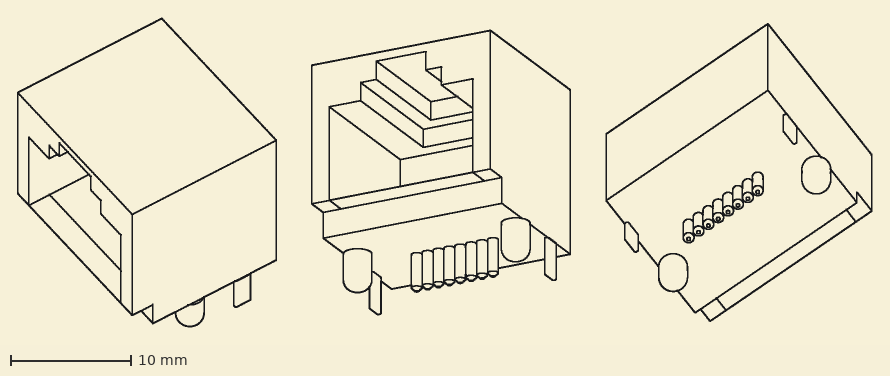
import cadquery as cq

housing_width = 16.7
housing_depth = 14.6
housing_height = 14.79

undercut_depth = 2.1
undercut_height = 2.32

cavity_widths = (13.4, 7.55, 4.6)
cavity_heights = (8.4, 1.63, 1.65)
back_wall = (housing_width - cavity_widths[0]) / 2
cavity_depth = housing_depth - back_wall
tier_setback = 1.5

sill_thickness = 0.02
floor_z = undercut_height + sill_thickness

overall_height = 18.09
leg_length = overall_height - housing_height

post_diameter = 2.4
post_spacing = 14.78
post_y = 6.5
post_tip_radius = 1.0

pin_count = 8
pin_pitch = 1.018
pins_left_of_centre = 3
first_pin_x = -pins_left_of_centre * pin_pitch
pin_diameter = 0.9
pin_y = 8.83
pin_tip_chamfer = 0.3

tab_width = 1.6
tab_thickness = 0.4
tab_y = 11.23
tab_edge_radius = 0.15
left_tab_overhang = 0.01
right_tab_overhang = 0.06
flush_tab_x = (housing_width - tab_thickness) / 2
left_tab_x = -left_tab_overhang - flush_tab_x
right_tab_x = right_tab_overhang + flush_tab_x


def make_housing():
    """Block with its bottom front edge cut back."""
    block = cq.Workplane("XY").box(
        housing_width, housing_depth, housing_height, centered=(True, False, False)
    )
    undercut = cq.Workplane("XY").box(
        housing_width, undercut_depth, undercut_height, centered=(True, False, False)
    )
    return block.cut(undercut)


def make_cavity():
    """Stack of ever narrower and shallower boxes, open at the front face."""
    cavity = cq.Workplane("XY")
    tier_z = floor_z
    tier_depth = cavity_depth
    for width, height in zip(cavity_widths, cavity_heights):
        tier = cq.Workplane("XY").box(
            width, tier_depth, height, centered=(True, False, False)
        )
        cavity = cavity.union(tier.translate((0, 0, tier_z)))
        tier_z += height
        tier_depth -= tier_setback
    return cavity


def make_post(x):
    """Round locating post with a domed tip."""
    post = cq.Workplane("XY").center(x, post_y).circle(post_diameter / 2).extrude(-leg_length)
    return post.faces("<Z").edges().fillet(post_tip_radius)


def make_pin(x):
    """Round contact pin with a chamfered tip."""
    pin = cq.Workplane("XY").center(x, pin_y).circle(pin_diameter / 2).extrude(-leg_length)
    return pin.faces("<Z").edges().chamfer(pin_tip_chamfer)


def make_tab(x):
    """Flat shield tab with rounded upright edges and a rounded tip."""
    tab = cq.Workplane("XY").center(x, tab_y).rect(tab_thickness, tab_width).extrude(-leg_length)
    return tab.edges("|Z or <Z").fillet(tab_edge_radius)


result = make_housing().cut(make_cavity())

for post_x in (-post_spacing / 2, post_spacing / 2):
    result = result.union(make_post(post_x))

for index in range(pin_count):
    result = result.union(make_pin(first_pin_x + index * pin_pitch))

for tab_x in (left_tab_x, right_tab_x):
    result = result.union(make_tab(tab_x))